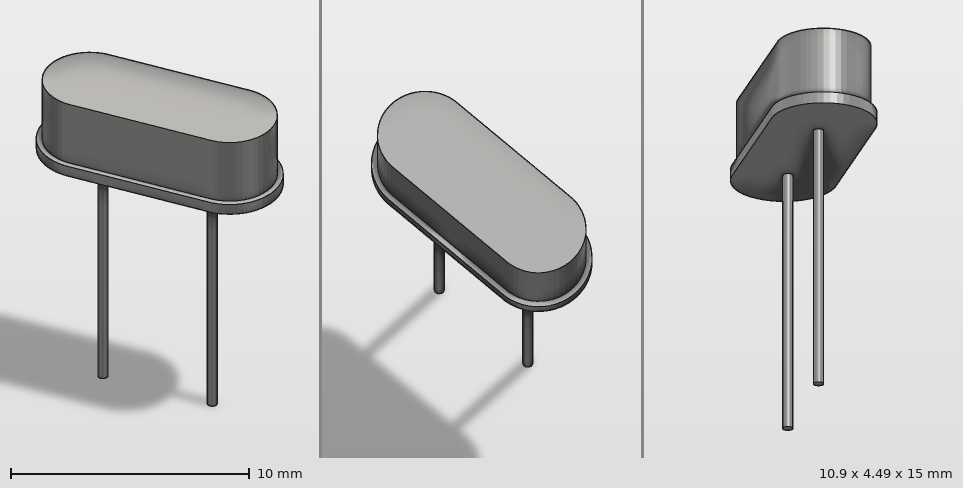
import cadquery as cq
import math

facets_per_turn = 50

end_spacing = 6.4

flange_radius = 2.25
flange_height = 0.5

flange_overhang = 0.25
can_radius = flange_radius - flange_overhang
can_height = 3.0

lead_radius = 0.215
lead_length = 11.5
lead_pitch = 5.0
lead_pair_x = -0.1


def faceted_stadium(end_radius, spacing):
    """Corner points of a stadium along X whose round ends are faceted."""
    points = []
    for i in range(facets_per_turn):
        angle = 2 * math.pi * i / facets_per_turn
        across = end_radius * math.cos(angle)
        end_x = math.copysign(spacing / 2, across)
        points.append((end_x + across, end_radius * math.sin(angle)))
    return points


def body_block(end_radius, base_z, height):
    """Upright faceted stadium block."""
    outline = faceted_stadium(end_radius, end_spacing)
    return cq.Workplane("XY").workplane(offset=base_z).polyline(outline).close().extrude(height)


def lead(x):
    """Faceted wire hanging down from the underside of the flange."""
    wire = cq.Workplane("XY").center(x, 0)
    return wire.polygon(facets_per_turn, 2 * lead_radius).extrude(-lead_length)


flange = body_block(flange_radius, 0, flange_height)
can = body_block(can_radius, flange_height, can_height)

result = flange.union(can)
for side in (-1, 1):
    result = result.union(lead(lead_pair_x + side * lead_pitch / 2))